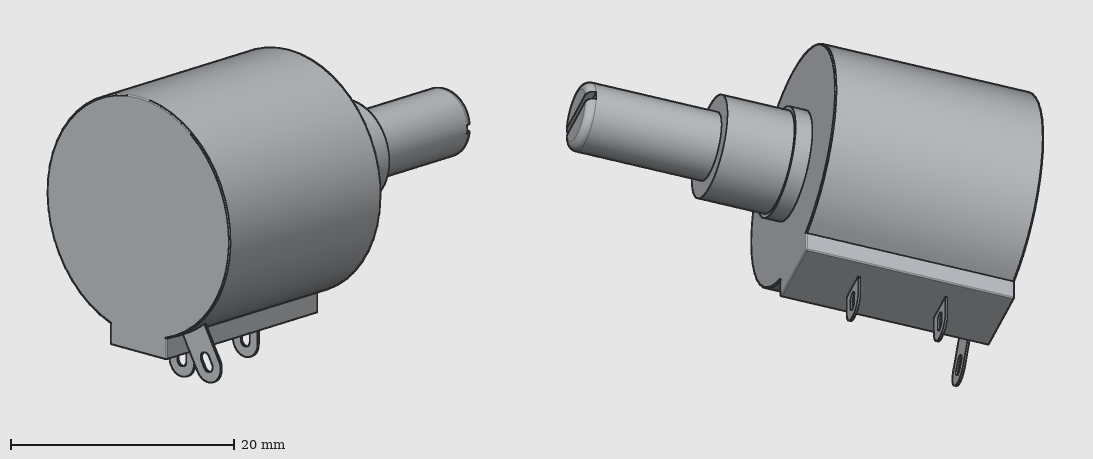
import cadquery as cq

body_diameter = 22.5
body_length = 19.8
edge_round = 0.12

foot_width = 6.87
foot_drop = 12.65

collar_diameter = 10.27
collar_length = 1.58
bushing_diameter = 9.55
bushing_length = 6.35
shaft_diameter = 6.35
total_length = 40.45
shaft_length = total_length - body_length - collar_length - bushing_length
tip_round = 0.75
driver_slot_width = 0.8
driver_slot_depth = 0.8

lug_width = 3.05
lug_thickness = 0.2
lug_reach = 16.2
lug_root = 10.1
eye_width = 1.1
eye_length = 1.85
foot_lug_positions = (5.8, 14.07)
side_lug_position = 1.4
side_lug_angle = 30.0


def cylinder_along_y(diameter, start, length):
    """Cylinder on the shaft axis, running from Y = start toward +Y."""
    return cq.Workplane("XZ", origin=(0, start, 0)).circle(diameter / 2).extrude(-length)


def make_housing():
    """Round can with a rectangular foot below, rounded around both end faces."""
    foot = (
        cq.Workplane("XY")
        .box(foot_width, body_length, foot_drop, centered=(True, False, False))
        .translate((0, 0, -foot_drop))
    )
    housing = cylinder_along_y(body_diameter, 0, body_length).union(foot)
    bottom_edges = housing.faces("<Z").edges("|Y")
    return housing.faces("<Y or >Y").edges().add(bottom_edges).fillet(edge_round)


def make_shaft():
    """Shaft with a rounded tip and a screwdriver slot across X."""
    start = total_length - shaft_length
    shaft = cylinder_along_y(shaft_diameter, start, shaft_length)
    shaft = shaft.faces(">Y").edges().fillet(tip_round)
    slot = (
        cq.Workplane("XY")
        .box(shaft_diameter, 2 * driver_slot_depth, driver_slot_width)
        .translate((0, total_length, 0))
    )
    return shaft.cut(slot)


def make_lug(position, angle=0):
    """Round-ended solder lug, turned about the shaft axis from straight down toward +X."""
    round_center = lug_reach - lug_width / 2
    eye_center = round_center - (eye_length - eye_width) / 2
    plane = cq.Workplane("XZ", origin=(0, position + lug_thickness / 2, 0))
    lug = (
        plane.moveTo(-lug_width / 2, -lug_root)
        .lineTo(-lug_width / 2, -round_center)
        .threePointArc((0, -lug_reach), (lug_width / 2, -round_center))
        .lineTo(lug_width / 2, -lug_root)
        .close()
        .extrude(lug_thickness)
    )
    eye = plane.center(0, -eye_center).slot2D(eye_length, eye_width, 90).extrude(lug_thickness)
    return lug.cut(eye).rotate((0, 0, 0), (0, 1, 0), -angle)


collar = cylinder_along_y(collar_diameter, body_length, collar_length)
bushing = cylinder_along_y(bushing_diameter, body_length + collar_length, bushing_length)

result = make_housing().union(collar).union(bushing).union(make_shaft())
for lug_position in foot_lug_positions:
    result = result.union(make_lug(lug_position))
result = result.union(make_lug(side_lug_position, side_lug_angle))